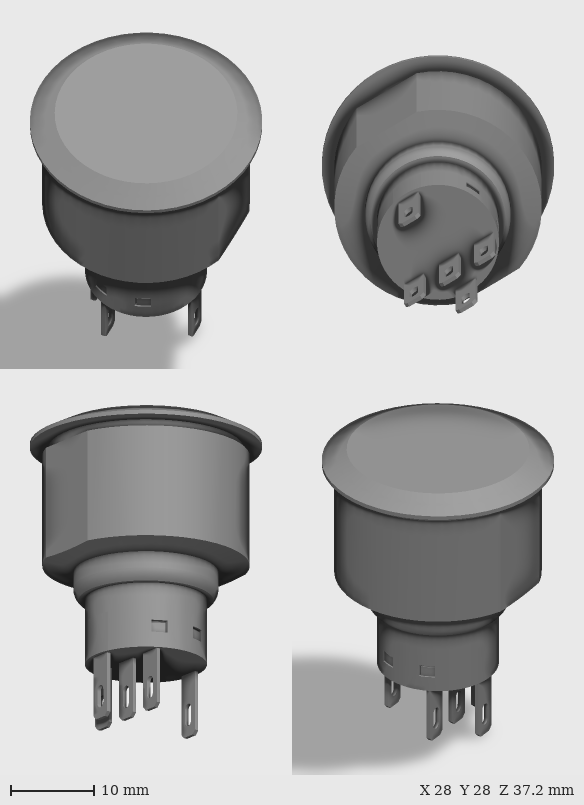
import cadquery as cq
import math


top_z = 2.0
rim_z = 0.5
neck_end_z = -1.0
body_end_z = -14.85
cone_end_z = -15.7
rounding_start_z = -17.75
collar_end_z = -19.2
base_z = -27.3

flange_radius = 28.0 / 2
bezel_radius = 22.0 / 2
neck_radius = 23.5 / 2
body_radius = 25.0 / 2
collar_radius = 17.5 / 2
collar_rounding_radius = 2.0
base_radius = 14.7 / 2

button_radius = 19.8 / 2
lens_radius = 15.7 / 2
insert_depth = 1.0
key_width = 4.0
key_height = 4.9

across_flats = 23.5

window_width = 1.85
window_height = 1.5
window_inner_x = 1.85
window_bottom_z = base_z + 1.9
latch_recess = 0.2
latch_gap_depth = 0.5
latch_side_gap = 0.15
latch_top_gap = 0.27

blade_thickness = 0.5
blade_width = 2.8
blade_root = 1.0
blade_corner = 0.5
eyelet_width = 1.2
eyelet_length = 2.8
eyelet_end_margin = 1.3
short_blade_length = 7.3
long_blade_length = 7.9
long_blade_x = 6.5
short_blade_x = -2.7
short_blade_pitch = 4.95


def switch_housing():
    """Revolved flange, neck, body, collar and base."""
    arc_depth = rounding_start_z - collar_end_z
    arc_angle = math.asin(arc_depth / collar_rounding_radius)
    arc_center = collar_radius - collar_rounding_radius
    arc_end = arc_center + collar_rounding_radius * math.cos(arc_angle)
    arc_mid = (
        arc_center + collar_rounding_radius * math.cos(arc_angle / 2),
        rounding_start_z - collar_rounding_radius * math.sin(arc_angle / 2),
    )
    return (
        cq.Workplane("XZ")
        .moveTo(0, top_z)
        .lineTo(bezel_radius, top_z)
        .lineTo(flange_radius, rim_z)
        .lineTo(flange_radius, 0)
        .lineTo(neck_radius, 0)
        .lineTo(neck_radius, neck_end_z)
        .lineTo(body_radius, neck_end_z)
        .lineTo(body_radius, body_end_z)
        .lineTo(collar_radius, cone_end_z)
        .lineTo(collar_radius, rounding_start_z)
        .threePointArc(arc_mid, (arc_end, collar_end_z))
        .lineTo(base_radius, collar_end_z)
        .lineTo(base_radius, base_z)
        .lineTo(0, base_z)
        .close()
        .revolve(360, (0, 0, 0), (0, 1, 0))
    )


def body_flats():
    """Material outside the two flats, over the height of the body and its cone."""
    height = neck_end_z - cone_end_z
    slab = cq.Workplane("XY").box(across_flats, 2 * body_radius, height)
    stock = cq.Workplane("XY").circle(flange_radius).extrude(height)
    return stock.translate((0, 0, cone_end_z)).cut(slab.translate((0, 0, cone_end_z + height / 2)))


def box_between(x_range, y_range, z_range):
    """Axis-aligned box from its limits along each axis."""
    return (
        cq.Workplane("XY")
        .box(x_range[1] - x_range[0], y_range[1] - y_range[0], z_range[1] - z_range[0], centered=False)
        .translate((x_range[0], y_range[0], z_range[0]))
    )


def base_shell(depth):
    """Outermost layer of the base, of the given radial depth."""
    return (
        cq.Workplane("XY", origin=(0, 0, base_z))
        .circle(flange_radius)
        .circle(base_radius - depth)
        .extrude(collar_end_z - base_z)
    )


def snap_window():
    """Window on the +X, +Y side: a shallow recess with a deeper gap above and beside its latch."""
    outer_x = window_inner_x + window_width
    window_top_z = window_bottom_z + window_height
    y_range = (0, base_radius)
    window = box_between((window_inner_x, outer_x), y_range, (window_bottom_z, window_top_z))
    latch = box_between(
        (window_inner_x + latch_side_gap, outer_x),
        y_range,
        (window_bottom_z, window_top_z - latch_top_gap),
    )
    recess = window.intersect(base_shell(latch_recess))
    gap = window.cut(latch).intersect(base_shell(latch_gap_depth))
    return recess.union(gap)


def terminal(x, y, length):
    """Blade below the base with clipped corners and a slotted eyelet."""
    tip_z = base_z - length
    eyelet_z = tip_z + eyelet_end_margin + eyelet_length / 2
    blade = (
        box_between(
            (x - blade_thickness / 2, x + blade_thickness / 2),
            (y - blade_width / 2, y + blade_width / 2),
            (tip_z, base_z + blade_root),
        )
        .edges("|X and <Z")
        .chamfer(blade_corner)
    )
    eyelet = (
        cq.Workplane("YZ", origin=(x, y, eyelet_z))
        .slot2D(eyelet_length, eyelet_width, 90)
        .extrude(blade_thickness, both=True)
    )
    return blade.cut(eyelet)


def with_flush_insert(part, insert):
    """Set an insert flush into the part, keeping the joint line on the surface."""
    return part.cut(insert, clean=False).union(insert, clean=False)


def top_insert(radius):
    """Disc ending level with the top face."""
    return cq.Workplane("XY", origin=(0, 0, top_z)).circle(radius).extrude(-insert_depth)


def side_key(side):
    """Key on the +X (side = 1) or -X (side = -1) wall of the base, following its curve."""
    x_limits = sorted((0, side * base_radius))
    block = box_between(x_limits, (-key_width / 2, key_width / 2), (base_z, base_z + key_height))
    wall = cq.Workplane("XY", origin=(0, 0, base_z)).circle(base_radius).extrude(key_height)
    return block.intersect(wall).intersect(base_shell(insert_depth))


housing = switch_housing().cut(body_flats())

window_plus_x = snap_window()
window_pair = window_plus_x.union(window_plus_x.mirror("YZ"))
housing = housing.cut(window_pair).cut(window_pair.mirror("XZ"))

for side in (-1, 1):
    housing = housing.union(terminal(side * long_blade_x, 0, long_blade_length))
for row in (-1, 0, 1):
    housing = housing.union(terminal(short_blade_x, row * short_blade_pitch, short_blade_length))

for radius in (button_radius, lens_radius):
    housing = with_flush_insert(housing, top_insert(radius))
for side in (-1, 1):
    housing = with_flush_insert(housing, side_key(side))

result = cq.Workplane("XY").add(housing.solids().val())